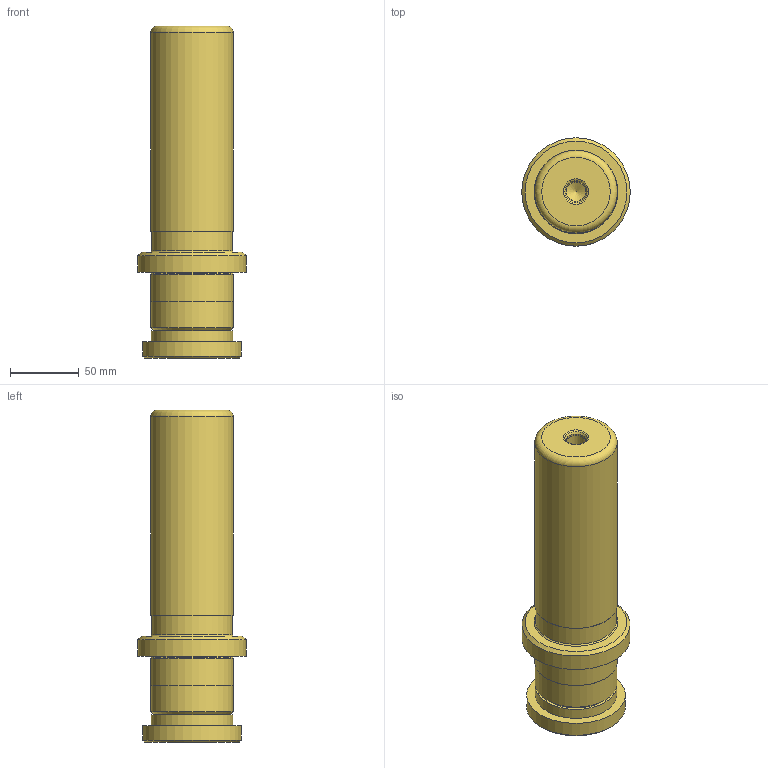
import cadquery as cq
import math

retainer_height = 20.0
retainer_radius = 29.7
retainer_flange_radius = 36.0
retainer_flange_height = 12.0
retainer_chamfer = 1.3

total_height = 242.0
post_radius = 30.0
top_round = 5.0
bottom_chamfer = 2.2

lead_in_radius = 29.9
lead_in_top_z = 41.5

collar_bottom_z = 62.5
collar_height = 14.5
collar_radius = 39.5
collar_chamfer = 2.4
collar_top_z = collar_bottom_z + collar_height

neck_radius = 29.5
neck_height = 15.5
neck_flare = 1.0
neck_top_z = collar_top_z + neck_height

undercut_height = 0.8
undercut_chamfer = post_radius - neck_radius
undercut_bottom_z = collar_bottom_z - undercut_height

hole_radius = 7.0
hole_depth = 40.0
entry_radius = 7.2
entry_depth = 3.6
countersink_radius = 8.1
mouth_radius = 9.25
mouth_half_angle = math.radians(60)
countersink_half_angle = math.radians(30)
drill_point_half_angle = math.radians(59)


def make_retainer():
    boss = cq.Workplane("XY").circle(retainer_radius).extrude(retainer_height)
    flange = cq.Workplane("XY").circle(retainer_flange_radius).extrude(retainer_flange_height)
    flange = flange.faces("<Z").edges().chamfer(retainer_chamfer)
    return flange.union(boss)


def make_post_blank():
    """Revolve the post with its lead-in, undercut, collar and neck, from the bottom up."""
    profile = (
        cq.Workplane("XZ")
        .moveTo(0, retainer_height)
        .lineTo(lead_in_radius - bottom_chamfer, retainer_height)
        .lineTo(lead_in_radius, retainer_height + bottom_chamfer)
        .lineTo(lead_in_radius, lead_in_top_z)
        .lineTo(post_radius, lead_in_top_z)
        .lineTo(post_radius, undercut_bottom_z - undercut_chamfer)
        .lineTo(neck_radius, undercut_bottom_z)
        .lineTo(neck_radius, collar_bottom_z)
        .lineTo(collar_radius, collar_bottom_z)
        .lineTo(collar_radius, collar_top_z - collar_chamfer)
        .lineTo(collar_radius - collar_chamfer, collar_top_z)
        .lineTo(neck_radius + neck_flare, collar_top_z)
        .lineTo(neck_radius, collar_top_z + neck_flare)
        .lineTo(neck_radius, neck_top_z)
        .lineTo(post_radius, neck_top_z)
        .lineTo(post_radius, total_height)
        .lineTo(0, total_height)
        .close()
    )
    return profile.revolve().faces(">Z").edges().fillet(top_round)


def make_lifting_hole():
    """Revolve the hollow of the lifting hole, from its mouth down to the drill point."""
    mouth_depth = (mouth_radius - countersink_radius) / math.tan(mouth_half_angle)
    countersink_height = (countersink_radius - entry_radius) / math.tan(countersink_half_angle)
    drill_point_height = hole_radius / math.tan(drill_point_half_angle)
    mouth_z = total_height - mouth_depth
    countersink_z = mouth_z - countersink_height
    entry_z = total_height - entry_depth
    floor_z = total_height - hole_depth
    profile = (
        cq.Workplane("XZ")
        .moveTo(0, total_height)
        .lineTo(mouth_radius, total_height)
        .lineTo(countersink_radius, mouth_z)
        .lineTo(entry_radius, countersink_z)
        .lineTo(entry_radius, entry_z)
        .lineTo(hole_radius, entry_z)
        .lineTo(hole_radius, floor_z)
        .lineTo(0, floor_z - drill_point_height)
        .close()
    )
    return profile.revolve()


retainer = make_retainer()
post = make_post_blank().cut(make_lifting_hole())

result = cq.Compound.makeCompound([retainer.val(), post.val()])